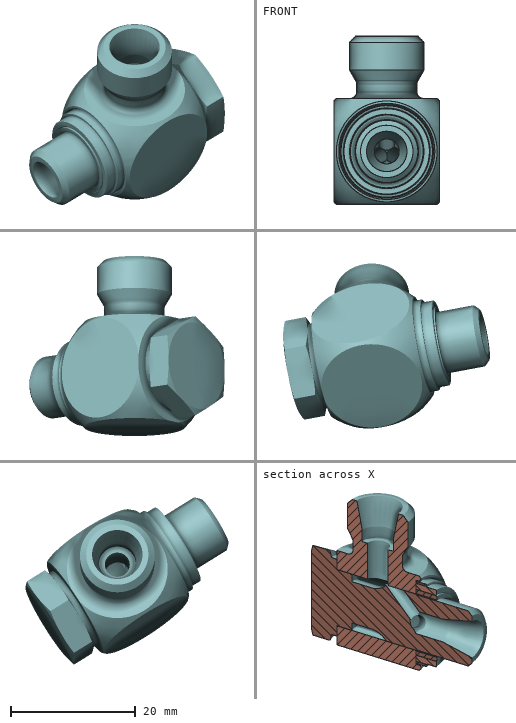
import cadquery as cq
import math


HALF_WIDTH = 8.5
BACK_Y = 8.0
FACE_CIRCLE_RADIUS = 8.1
SPHERE_RADIUS = math.hypot(HALF_WIDTH, FACE_CIRCLE_RADIUS)

NECK_TOP_Z = 18.5
NECK_RADIUS = 12.0 / 2
NECK_CHAMFER = 1.0
NECK_LOWER_Z = 13.1
NECK_ROOT_RADIUS = 9.7 / 2
UNDERCUT_ANGLE = math.radians(30)
NECK_FILLET = 1.0
TUBE_RADIUS = 6.0 / 2
TUBE_MOUTH_RADIUS = 8.1 / 2
TUBE_SOCKET_DEPTH = 7.0
PASSAGE_RADIUS = 4.0 / 2
SEAT_CONE_ANGLE = math.radians(12)

SHANK_RADIUS = 10.0 / 2
TIP_Y = -18.5
TIP_CHAMFER = 0.8
HEAD_Y = 13.0
HEAD_THICKNESS = 4.0
HEAD_ACROSS_FLATS = 14.02
HEAD_CHAMFER_ANGLE = math.radians(15)
HEAD_BASE_Y = HEAD_Y - HEAD_THICKNESS
COLLAR_RADIUS = 13.9 / 2
WAIST_RADIUS = 7.5 / 2
FLARE_START_Y = -1.58
FLARE_END_Y = 1.23
WAIST_END_Y = 5.0
BORE_MOUTH_RADIUS = 6.5 / 2
BORE_TIP_Y = -6.3
DRILL_POINT_ANGLE = math.radians(59)
CROSS_HOLE_COUNT = 3
CROSS_HOLE_RADIUS = 2.5 / 2
CROSS_HOLE_ANGLE = 45.0
CROSS_HOLE_START_Y = -8.38
CROSS_HOLE_LENGTH = 9.45

EDGE_CHAMFER = 0.1
SEAL_FLOOR_Y = -7.55
OUTER_RING_RADIUS = 14.87 / 2
OUTER_RING_Y = -9.7
INNER_RING_RADIUS = 13.9 / 2
INNER_RING_Y = -11.5
INNER_RING_MOUTH_CHAMFER = 0.13
SEAL_RADIUS = 11.7 / 2
SEAL_BORE_RADIUS = 10.2 / 2
SEAL_Y = -11.7
RECESS_RADIUS = 15.0 / 2
RECESS_MOUTH_CHAMFER = 0.22


def revolve_about_y(points):
    """Turn (radius, y) points into a solid of revolution about the Y axis."""
    return cq.Workplane("XY").polyline(points).close().revolve(360, (0, 0, 0), (0, 1, 0))


def cylinder_along_y(radius, start_y, end_y):
    return revolve_about_y([(0, start_y), (radius, start_y), (radius, end_y), (0, end_y)])


def make_block():
    """Block with its corners rounded off by a sphere centred where the axes cross."""
    width = 2 * HALF_WIDTH
    length = BACK_Y + HALF_WIDTH
    block = cq.Workplane("XY").box(width, length, width).translate((0, BACK_Y - length / 2, 0))
    return block.intersect(cq.Workplane("XY").sphere(SPHERE_RADIUS))


def make_neck():
    """Threaded tube end with an undercut, flowing into the block through a fillet."""
    cone_drop = (NECK_RADIUS - NECK_ROOT_RADIUS) / math.tan(UNDERCUT_ANGLE)
    corner_z = NECK_LOWER_Z - cone_drop
    tangent = NECK_FILLET * math.tan(UNDERCUT_ANGLE / 2)
    undercut_centre = (NECK_ROOT_RADIUS + NECK_FILLET, corner_z - tangent)
    cone_end = (
        undercut_centre[0] - NECK_FILLET * math.cos(UNDERCUT_ANGLE),
        undercut_centre[1] + NECK_FILLET * math.sin(UNDERCUT_ANGLE),
    )
    undercut_middle = (
        undercut_centre[0] - NECK_FILLET * math.cos(UNDERCUT_ANGLE / 2),
        undercut_centre[1] + NECK_FILLET * math.sin(UNDERCUT_ANGLE / 2),
    )
    foot_middle = (
        NECK_ROOT_RADIUS + NECK_FILLET * (1 - math.sqrt(0.5)),
        HALF_WIDTH + NECK_FILLET * (1 - math.sqrt(0.5)),
    )
    return (
        cq.Workplane("XZ")
        .moveTo(0, 0)
        .lineTo(0, NECK_TOP_Z)
        .lineTo(NECK_RADIUS - NECK_CHAMFER, NECK_TOP_Z)
        .lineTo(NECK_RADIUS, NECK_TOP_Z - NECK_CHAMFER)
        .lineTo(NECK_RADIUS, NECK_LOWER_Z)
        .lineTo(*cone_end)
        .threePointArc(undercut_middle, (NECK_ROOT_RADIUS, undercut_centre[1]))
        .lineTo(NECK_ROOT_RADIUS, HALF_WIDTH + NECK_FILLET)
        .threePointArc(foot_middle, (NECK_ROOT_RADIUS + NECK_FILLET, HALF_WIDTH))
        .lineTo(NECK_ROOT_RADIUS + NECK_FILLET, 0)
        .close()
        .revolve(360, (0, 0, 0), (0, 1, 0))
    )


def make_tube_socket():
    """Cone seat, tube socket and flow passage, from the neck top down to the bolt axis."""
    cone_depth = (TUBE_MOUTH_RADIUS - TUBE_RADIUS) / math.tan(SEAT_CONE_ANGLE)
    socket_z = NECK_TOP_Z - TUBE_SOCKET_DEPTH
    points = [
        (0, 0),
        (PASSAGE_RADIUS, 0),
        (PASSAGE_RADIUS, socket_z),
        (TUBE_RADIUS, socket_z),
        (TUBE_RADIUS, NECK_TOP_Z - cone_depth),
        (TUBE_MOUTH_RADIUS, NECK_TOP_Z),
        (0, NECK_TOP_Z),
    ]
    return cq.Workplane("XZ").polyline(points).close().revolve(360, (0, 0, 0), (0, 1, 0))


def make_seal_recess():
    """Round recess in the -Y face that holds the seals, with a chamfered mouth."""
    return revolve_about_y([
        (0, SEAL_FLOOR_Y),
        (RECESS_RADIUS, SEAL_FLOOR_Y),
        (RECESS_RADIUS, -HALF_WIDTH + RECESS_MOUTH_CHAMFER),
        (RECESS_RADIUS + RECESS_MOUTH_CHAMFER, -HALF_WIDTH),
        (0, -HALF_WIDTH),
    ])


def make_housing():
    bolt_hole = cylinder_along_y(SHANK_RADIUS, -HALF_WIDTH, BACK_Y)
    housing = make_block().union(make_neck())
    return housing.cut(make_tube_socket()).cut(bolt_hole).cut(make_seal_recess())


def make_head():
    """Hexagon with two corners on Z, chamfered at both ends by shallow cones."""
    corner_radius = HEAD_ACROSS_FLATS / 2 / math.cos(math.pi / 6)
    flat_radius = HEAD_ACROSS_FLATS / 2
    chamfer_drop = (corner_radius - flat_radius) * math.tan(HEAD_CHAMFER_ANGLE)
    hexagon = (
        cq.Workplane("XZ", origin=(0, HEAD_Y, 0))
        .polygon(6, 2 * corner_radius)
        .extrude(HEAD_THICKNESS)
        .rotate((0, 0, 0), (0, 1, 0), 30)
    )
    chamfered_disc = revolve_about_y([
        (0, HEAD_BASE_Y),
        (flat_radius, HEAD_BASE_Y),
        (corner_radius, HEAD_BASE_Y + chamfer_drop),
        (corner_radius, HEAD_Y - chamfer_drop),
        (flat_radius, HEAD_Y),
        (0, HEAD_Y),
    ])
    return hexagon.intersect(chamfered_disc)


def make_shank():
    """Shank with a chamfered tip, a flared waist inside the housing and a collar under the head."""
    flare_length = FLARE_END_Y - FLARE_START_Y
    flare_rise = SHANK_RADIUS - WAIST_RADIUS
    flare_angle = 2 * math.atan(flare_rise / flare_length)
    flare_radius = flare_length / math.sin(flare_angle)
    flare_middle = (
        WAIST_RADIUS + flare_radius * (1 - math.cos(flare_angle / 2)),
        FLARE_END_Y - flare_radius * math.sin(flare_angle / 2),
    )
    return (
        cq.Workplane("XY")
        .moveTo(0, TIP_Y)
        .lineTo(SHANK_RADIUS - TIP_CHAMFER, TIP_Y)
        .lineTo(SHANK_RADIUS, TIP_Y + TIP_CHAMFER)
        .lineTo(SHANK_RADIUS, FLARE_START_Y)
        .threePointArc(flare_middle, (WAIST_RADIUS, FLARE_END_Y))
        .lineTo(WAIST_RADIUS, WAIST_END_Y)
        .lineTo(SHANK_RADIUS, WAIST_END_Y)
        .lineTo(SHANK_RADIUS, BACK_Y)
        .lineTo(COLLAR_RADIUS - EDGE_CHAMFER, BACK_Y)
        .lineTo(COLLAR_RADIUS, BACK_Y + EDGE_CHAMFER)
        .lineTo(COLLAR_RADIUS, HEAD_BASE_Y)
        .lineTo(0, HEAD_BASE_Y)
        .close()
        .revolve(360, (0, 0, 0), (0, 1, 0))
    )


def make_bolt_bore():
    """Blind bore with a cone seat at the tip and a drill point at its inner end."""
    cone_depth = (BORE_MOUTH_RADIUS - PASSAGE_RADIUS) / math.tan(SEAT_CONE_ANGLE)
    point_length = PASSAGE_RADIUS / math.tan(DRILL_POINT_ANGLE)
    return revolve_about_y([
        (0, TIP_Y),
        (BORE_MOUTH_RADIUS, TIP_Y),
        (PASSAGE_RADIUS, TIP_Y + cone_depth),
        (PASSAGE_RADIUS, BORE_TIP_Y - point_length),
        (0, BORE_TIP_Y),
    ])


def make_cross_hole(turn):
    """Slanted hole from the bore end out beside the flare, turned about the bolt axis in degrees."""
    angle = math.radians(CROSS_HOLE_ANGLE)
    direction = cq.Vector(0, math.cos(angle), math.sin(angle))
    start = cq.Vector(0, CROSS_HOLE_START_Y, 0)
    hole = cq.Solid.makeCylinder(CROSS_HOLE_RADIUS, CROSS_HOLE_LENGTH, start, direction)
    return cq.Workplane(obj=hole).rotate((0, 0, 0), (0, 1, 0), turn)


def make_bolt():
    bolt = make_shank().union(make_head()).cut(make_bolt_bore())
    for index in range(CROSS_HOLE_COUNT):
        bolt = bolt.cut(make_cross_hole(index * 360 / CROSS_HOLE_COUNT))
    return bolt


def make_outer_ring():
    """Ring standing in the housing recess."""
    return revolve_about_y([
        (INNER_RING_RADIUS, SEAL_FLOOR_Y),
        (OUTER_RING_RADIUS, SEAL_FLOOR_Y),
        (OUTER_RING_RADIUS, OUTER_RING_Y + EDGE_CHAMFER),
        (OUTER_RING_RADIUS - EDGE_CHAMFER, OUTER_RING_Y),
        (INNER_RING_RADIUS, OUTER_RING_Y),
    ])


def make_inner_ring():
    """Longer ring inside the outer ring, chamfered inside and outside at its free end."""
    return revolve_about_y([
        (SEAL_RADIUS, SEAL_FLOOR_Y),
        (INNER_RING_RADIUS, SEAL_FLOOR_Y),
        (INNER_RING_RADIUS, INNER_RING_Y + EDGE_CHAMFER),
        (INNER_RING_RADIUS - EDGE_CHAMFER, INNER_RING_Y),
        (SEAL_RADIUS + INNER_RING_MOUTH_CHAMFER, INNER_RING_Y),
        (SEAL_RADIUS, INNER_RING_Y + INNER_RING_MOUTH_CHAMFER),
    ])


def make_soft_seal():
    """Plain seal sleeve that stands slightly proud of the inner ring."""
    return revolve_about_y([
        (SEAL_BORE_RADIUS, SEAL_FLOOR_Y),
        (SEAL_RADIUS, SEAL_FLOOR_Y),
        (SEAL_RADIUS, SEAL_Y),
        (SEAL_BORE_RADIUS, SEAL_Y),
    ])


housing = make_housing()
bolt = make_bolt()
outer_ring = make_outer_ring()
inner_ring = make_inner_ring()
soft_seal = make_soft_seal()

result = cq.Compound.makeCompound([
    housing.solids().val(),
    bolt.solids().val(),
    outer_ring.val(),
    inner_ring.val(),
    soft_seal.val(),
])